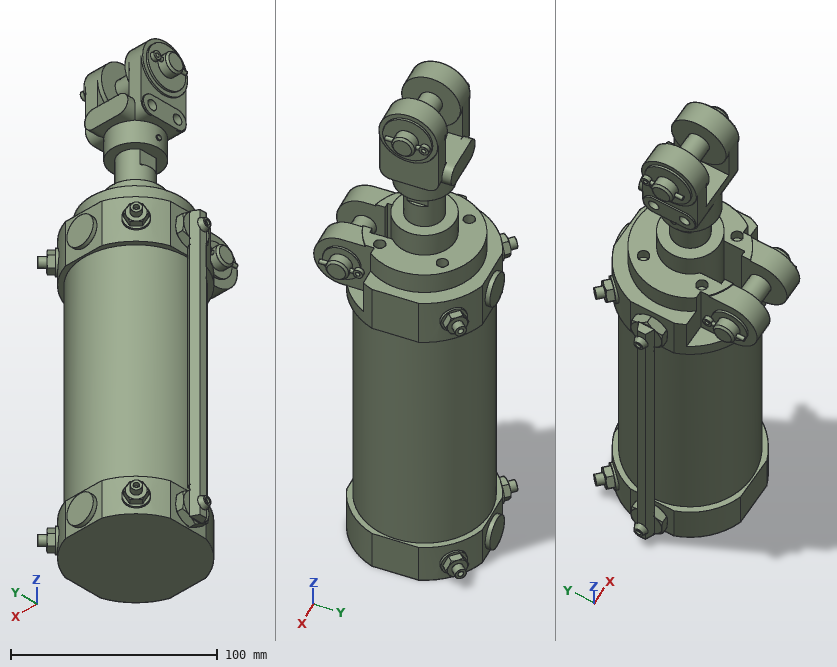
import cadquery as cq
import math


tube_diameter = 69.5
cap_diameter = 75.7
cap_flat_offset = 35.78
end_cap_height = 22.0
head_bottom_z = 160.5
head_top_z = 186.7
flange_diameter = 60.5
flange_top_z = 198.5
collar_diameter = 32.7
collar_top_z = 211.7
flange_hole_diameter = 6.0
flange_hole_depth = 6.0
flange_hole_x = 16.5
flange_hole_y = 16.5

hinge_gap = 16.0
hinge_width = 40.0
washer_thickness = 1.2
pin_diameter = 12.0
pin_length = 54.8
pin_chamfer = 1.2
cotter_offset = 24.0
cotter_diameter = 2.3
cotter_half_length = 10.3
cotter_head_diameter = 5.0
cotter_head_thickness = 2.5
cotter_eye_diameter = 2.3

lug_y = -34.8
lug_z = 182.5
lug_radius = 15.0
lug_washer_diameter = 20.0
lug_shoulder_y = -18.0
lug_slot_bottom_z = 163.7
lug_slot_step_y = -24.1
lug_slot_wide_width = 21.8

port_heights = (10.3, 174.0)
plug_diameter = 18.0
plug_face_y = 38.3
fitting_angles = (45, 135)
fitting_collar_diameter = 13.8
fitting_collar_face = 39.0
fitting_hex_flats = 10.5
fitting_embed = 1.0
fitting_hex_face = 43.0
fitting_stem_diameter = 6.0
fitting_stem_end = 47.5
fitting_bore = 3.0
fitting_bore_depth = 3.0
nut_flats = 17.5
nut_face_x = -41.2

rail_outer_x = -46.0
rail_inner_x = -38.3
rail_outer_width = 4.5
rail_middle_width = 9.0
rail_inner_width = 6.0
rail_overhang = 8.0
rail_step = 11.2
screw_head_diameter = 7.7
screw_head_tip_diameter = 5.0
screw_head_height = 2.8
screw_socket_diameter = 3.0
screw_socket_depth = 1.2

rod_diameter = 20.3
rod_shoulder_z = 234.0
rod_flats = 17.0
rod_flat_length = 8.8
tenon_diameter = 15.3

clevis_pin_z = 279.05
eye_diameter = 31.0
clevis_washer_diameter = 26.0
cheek_width = 38.0
cheek_gap = 21.2
clevis_floor_z = 259.0
clevis_bottom_z = 247.0
boss_length = 29.5
back_boss_y = 20.3
side_boss_x = -19.88
side_hole_diameter = 6.0
side_hole_spacing = 17.5
side_hole_depth = 6.0
hub_diameter = 31.0

set_screw_diameter = 3.0
set_screw_z = 240.0
set_screw_length = 4.5
set_screw_protrusion = 0.5

boss_height = clevis_floor_z - clevis_bottom_z
boss_z = (clevis_floor_z + clevis_bottom_z) / 2
hinge_half = hinge_width / 2
hinge_washer_half = hinge_half + washer_thickness
pin_half = pin_length / 2


def z_cylinder(diameter, bottom, top):
    return cq.Workplane("XY").workplane(offset=bottom).circle(diameter / 2).extrude(top - bottom)


def x_cylinder(diameter, x_start, x_end, y, z):
    length = x_end - x_start
    return cq.Workplane("YZ", origin=(x_start, y, z)).circle(diameter / 2).extrude(length)


def block(x_min, x_max, y_min, y_max, z_min, z_max):
    return cq.Workplane("XY").box(
        x_max - x_min, y_max - y_min, z_max - z_min, centered=False
    ).translate((x_min, y_min, z_min))


def cap(bottom, top):
    """Round cap with four flats."""
    flats = block(-cap_flat_offset, cap_flat_offset, -cap_flat_offset, cap_flat_offset, bottom, top)
    return z_cylinder(cap_diameter, bottom, top).intersect(flats)


def hinge_pin(y, z):
    """Pin with chamfered ends and a cotter with a ring head through each end."""
    cotter_y = y + cotter_half_length
    pin = x_cylinder(pin_diameter, -pin_half, pin_half, y, z).faces("<X or >X").chamfer(pin_chamfer)
    for x in (-cotter_offset, cotter_offset):
        shank = (
            cq.Workplane("XZ", origin=(x, cotter_y, z))
            .circle(cotter_diameter / 2)
            .extrude(2 * cotter_half_length)
        )
        head_start = x - cotter_head_thickness / 2
        head_end = x + cotter_head_thickness / 2
        head = x_cylinder(cotter_head_diameter, head_start, head_end, cotter_y, z)
        eye = x_cylinder(cotter_eye_diameter, head_start, head_end, cotter_y, z)
        pin = pin.union(shank).union(head).cut(eye)
    return pin


def radial_plane(angle, z):
    """Plane through the cylinder axis whose normal points outward at the angle and local y is up."""
    outward = (math.cos(math.radians(angle)), math.sin(math.radians(angle)), 0)
    sideways = (-outward[1], outward[0], 0)
    return cq.Plane(origin=(0, 0, z), xDir=sideways, normal=outward)


def chamfered_hexagon(plane, flats, start, end):
    """Hexagon along the plane normal, its corners chamfered down to the flats at both ends."""
    corner_half_angle = math.radians(30)
    corner_diameter = flats / math.cos(corner_half_angle)
    chamfer_width = (corner_diameter - flats) / 2
    chamfer_length = chamfer_width * math.tan(corner_half_angle)
    base = cq.Workplane(plane).workplane(offset=start)
    hexagon = base.polygon(6, corner_diameter).extrude(end - start)
    envelope = (
        base.circle(corner_diameter / 2).extrude(end - start)
        .faces(cq.selectors.ParallelDirSelector(plane.zDir)).chamfer(chamfer_length, chamfer_width)
    )
    return hexagon.intersect(envelope)


def side_fitting(angle, z):
    """Round collar, hex and hollow stem pointing outward at the angle."""
    plane = radial_plane(angle, z)
    start = cap_diameter / 2 - fitting_embed

    def cylinder(diameter, inner, outer):
        return cq.Workplane(plane).workplane(offset=inner).circle(diameter / 2).extrude(outer - inner)

    fitting = cylinder(fitting_collar_diameter, start, fitting_collar_face)
    fitting = fitting.union(chamfered_hexagon(plane, fitting_hex_flats, start, fitting_hex_face))
    fitting = fitting.union(cylinder(fitting_stem_diameter, start, fitting_stem_end))
    return fitting.cut(cylinder(fitting_bore, fitting_stem_end - fitting_bore_depth, fitting_stem_end))


def rail_nut(z):
    """Hex nut on the -X flat with corners up and down."""
    plane = cq.Plane(origin=(0, 0, z), xDir=(0, 0, 1), normal=(-1, 0, 0))
    return chamfered_hexagon(plane, nut_flats, cap_flat_offset, -nut_face_x)


def rear_plug(z):
    plug_height = plug_face_y - cap_flat_offset
    return cq.Workplane("XZ", origin=(0, plug_face_y, z)).circle(plug_diameter / 2).extrude(plug_height)


def housing_lugs():
    """Pair of rounded lugs reaching forward from the head, with a washer face outside each."""
    eye = x_cylinder(2 * lug_radius, -hinge_half, hinge_half, lug_y, lug_z)
    root = block(
        -hinge_half, hinge_half, lug_y, lug_shoulder_y, lug_z - lug_radius, lug_z + lug_radius
    )
    washers = x_cylinder(lug_washer_diameter, -hinge_washer_half, hinge_washer_half, lug_y, lug_z)
    return eye.union(root).union(washers)


def make_housing():
    collar = z_cylinder(collar_diameter, lug_slot_bottom_z, collar_top_z)
    body = z_cylinder(tube_diameter, 0, head_top_z)
    body = body.union(cap(0, end_cap_height)).union(cap(head_bottom_z, head_top_z))
    body = body.union(z_cylinder(flange_diameter, head_bottom_z, flange_top_z))

    lug_bottom_z = lug_z - lug_radius
    reach = cap_diameter
    for x_min, x_max in ((-reach, -hinge_half), (hinge_half, reach)):
        body = body.cut(block(x_min, x_max, -reach, lug_shoulder_y, lug_bottom_z, collar_top_z))
    body = body.union(housing_lugs())

    half_gap = hinge_gap / 2
    half_wide = lug_slot_wide_width / 2
    body = body.cut(block(-half_gap, half_gap, -2 * reach, 0, lug_slot_bottom_z, collar_top_z))
    body = body.cut(block(-half_wide, half_wide, lug_slot_step_y, 0, lug_slot_bottom_z, collar_top_z))
    body = body.union(collar)

    flange_holes = (
        cq.Workplane("XY").workplane(offset=flange_top_z - flange_hole_depth)
        .rect(2 * flange_hole_x, 2 * flange_hole_y, forConstruction=True).vertices()
        .circle(flange_hole_diameter / 2).extrude(flange_hole_depth)
    )
    body = body.cut(flange_holes)

    for z in port_heights:
        body = body.union(rear_plug(z)).union(rail_nut(z))
        for angle in fitting_angles:
            body = body.union(side_fitting(angle, z))

    rod_bore = z_cylinder(rod_diameter, head_bottom_z, collar_top_z)
    pin_bore = x_cylinder(pin_diameter, -pin_half, pin_half, lug_y, lug_z)
    return body.cut(rod_bore).cut(pin_bore)


def make_rod():
    """Rod with two wrench flats under the shoulder and a tenon through the clevis."""
    rod = z_cylinder(rod_diameter, head_bottom_z, rod_shoulder_z)
    flat_bottom_z = rod_shoulder_z - rod_flat_length
    for x_min, x_max in ((-rod_diameter, -rod_flats / 2), (rod_flats / 2, rod_diameter)):
        rod = rod.cut(block(x_min, x_max, -rod_diameter, rod_diameter, flat_bottom_z, rod_shoulder_z))
    return rod.union(z_cylinder(tenon_diameter, rod_shoulder_z, clevis_floor_z))


def make_clevis():
    eye_radius = eye_diameter / 2
    half_width = cheek_width / 2

    fork = block(-half_width, half_width, -eye_radius, eye_radius, clevis_bottom_z, clevis_pin_z)
    fork = fork.faces("<Z").edges("|X").fillet(boss_height / 2)
    fork = fork.cut(
        block(-cheek_gap / 2, cheek_gap / 2, -eye_radius, eye_radius, clevis_floor_z, clevis_pin_z)
    )

    eyes = x_cylinder(eye_diameter, -hinge_half, hinge_half, 0, clevis_pin_z)
    washers = x_cylinder(clevis_washer_diameter, -hinge_washer_half, hinge_washer_half, 0, clevis_pin_z)
    eyes = eyes.union(washers)
    eyes = eyes.cut(x_cylinder(eye_diameter, -hinge_gap / 2, hinge_gap / 2, 0, clevis_pin_z))

    back_boss = (
        cq.Workplane("XZ", origin=(0, back_boss_y, boss_z)).slot2D(boss_length, boss_height)
        .extrude(back_boss_y)
    )
    side_boss = (
        cq.Workplane("YZ", origin=(side_boss_x, 0, boss_z)).slot2D(boss_length, boss_height)
        .extrude(-side_boss_x)
    )
    side_holes = (
        cq.Workplane("YZ", origin=(side_boss_x, 0, boss_z))
        .pushPoints([(-side_hole_spacing / 2, 0), (side_hole_spacing / 2, 0)])
        .circle(side_hole_diameter / 2).extrude(side_hole_depth)
    )

    hub = z_cylinder(hub_diameter, rod_shoulder_z, clevis_floor_z)
    clevis = fork.union(eyes).union(back_boss).union(side_boss).union(hub).cut(side_holes)
    clevis = clevis.cut(z_cylinder(tenon_diameter, rod_shoulder_z, clevis_floor_z))
    return clevis.cut(x_cylinder(pin_diameter, -pin_half, pin_half, 0, clevis_pin_z))


def make_set_screw():
    start = -hub_diameter / 2 - set_screw_protrusion
    return x_cylinder(set_screw_diameter, start, start + set_screw_length, 0, set_screw_z)


def rail_bar(outer_x, outer_width, inner_x, inner_width, bottom, top):
    """Upright bar with a trapezoid section."""
    corners = [
        (outer_x, -outer_width / 2),
        (outer_x, outer_width / 2),
        (inner_x, inner_width / 2),
        (inner_x, -inner_width / 2),
    ]
    return cq.Workplane("XY").workplane(offset=bottom).polyline(corners).close().extrude(top - bottom)


def make_rail():
    """Rail on the nuts, with an inner part between them and a screw head over each."""
    low, high = port_heights
    rail = rail_bar(
        rail_outer_x, rail_outer_width, nut_face_x, rail_middle_width,
        low - rail_overhang, high + rail_overhang,
    )
    inner_rail = rail_bar(
        nut_face_x, rail_middle_width, rail_inner_x, rail_inner_width,
        low + rail_step, high - rail_step,
    )
    rail = rail.union(inner_rail)
    for z in port_heights:
        tip_x = rail_outer_x - screw_head_height
        head = (
            cq.Workplane("YZ", origin=(tip_x, 0, z)).circle(screw_head_tip_diameter / 2)
            .workplane(offset=screw_head_height).circle(screw_head_diameter / 2).loft()
        )
        socket = x_cylinder(screw_socket_diameter, tip_x, tip_x + screw_socket_depth, 0, z)
        rail = rail.union(head).cut(socket)
    return rail


housing = make_housing()
rod = make_rod()
clevis = make_clevis()
set_screw = make_set_screw()
clevis = clevis.cut(set_screw)
rail = make_rail()
pins = [hinge_pin(y, z) for y, z in ((lug_y, lug_z), (0, clevis_pin_z))]

result = cq.Compound.makeCompound(
    [
        housing.val(),
        rod.val(),
        clevis.val(),
        set_screw.val(),
        rail.val(),
        *[pin.val() for pin in pins],
    ]
)